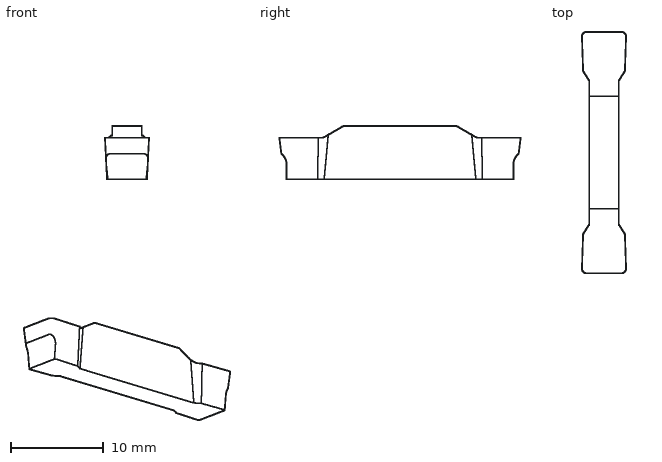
import cadquery as cq
import math

length = 26.1
height = 5.8
body_width = 3.25
ridge_length = 12.17
ramp_angle = 30.0

head_height = 4.52
head_front_width = 4.83
head_rear_width = 4.55
head_rear_y = 8.83
neck_y = 7.78
corner_radius = 0.52
ramp_fillet = 0.52
selection_margin = 0.03

front_draft = 7.3
flank_inset = 0.222
neck_shift = 0.42
rear_shift = 0.08

step_top_z = 2.77
step_bottom_z = 1.65
step_face_y = 12.27

front_slope = math.tan(math.radians(front_draft))
flank_slope = flank_inset / head_height
neck_slope = neck_shift / head_height
rear_slope = rear_shift / head_height


def side_profile():
    """Full-width slab bounded by the side outline."""
    half_length = length / 2
    ramp_end_y = ridge_length / 2 + (height - head_height) / math.tan(math.radians(ramp_angle))
    step_top_y = half_length - (head_height - step_top_z) * front_slope

    step_depth = step_top_y - step_face_y
    step_height = step_top_z - step_bottom_z
    step_radius = (step_depth**2 + step_height**2) / (2 * step_depth)
    middle_angle = math.asin(step_height / step_radius) / 2
    step_middle = (
        step_face_y + step_radius * (1 - math.cos(middle_angle)),
        step_bottom_z + step_radius * math.sin(middle_angle),
    )
    half = (
        cq.Workplane("YZ")
        .moveTo(0, 0)
        .lineTo(step_face_y, 0)
        .lineTo(step_face_y, step_bottom_z)
        .threePointArc(step_middle, (step_top_y, step_top_z))
        .lineTo(half_length, head_height)
        .lineTo(ramp_end_y, head_height)
        .lineTo(ridge_length / 2, height)
        .lineTo(0, height)
        .close()
        .extrude(head_front_width, both=True)
    )
    ramp_foot = cq.selectors.BoxSelector(
        (-head_front_width, ramp_end_y - selection_margin, head_height - selection_margin),
        (head_front_width, ramp_end_y + selection_margin, head_height + selection_margin),
    )
    half = half.edges(ramp_foot).fillet(ramp_fillet)
    return half.union(half.mirror("XZ"))


def head_outline(z):
    """Sharp-cornered plan outline of the +Y head at height z."""
    drop = head_height - z
    front_y = length / 2 - drop * front_slope
    front_x = head_front_width / 2 - drop * flank_slope
    rear_x = head_rear_width / 2 - drop * flank_slope
    neck_x = body_width / 2
    neck_edge_y = neck_y + drop * neck_slope
    rear_edge_y = head_rear_y + drop * rear_slope
    right = [(neck_x, neck_edge_y), (rear_x, rear_edge_y), (front_x, front_y)]
    left = [(-x, y) for x, y in reversed(right)]
    return right + left


def head():
    """Relieved +Y head, tall enough for the side outline to trim it."""
    return (
        cq.Workplane("XY")
        .polyline(head_outline(0))
        .close()
        .workplane(offset=height)
        .polyline(head_outline(height))
        .close()
        .loft(ruled=True)
        .faces(">Y")
        .edges("not #Z")
        .edges("not |X")
        .fillet(corner_radius)
    )


body = cq.Workplane("XY").box(body_width, 2 * head_rear_y, height, centered=(True, True, False))
end_head = head()
plan_shape = body.union(end_head).union(end_head.mirror("XZ"))

result = plan_shape.intersect(side_profile())